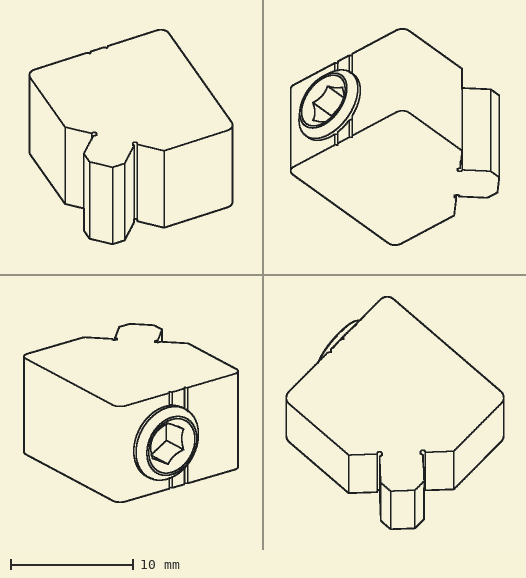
import cadquery as cq
import math

overall_length = 14.41
block_width = 12.57
block_height = 8.53
head_projection = 0.95
corner_radius = 0.75

notch_offset = 4.3
notch_depth = 1.79
relief_radius = 0.2
corner_chamfer = 1.41

groove_depth = 0.17
first_groove_y = 7.22
groove_spacing = 1.54

head_diameter = 6.35
head_chamfer = 0.63
screw_y = 7.81
screw_z = block_height / 2
countersink_diameter = 4.7
hex_across_flats = 3.15
socket_depth = 2.88
countersink_half_angle = 45.0


def vertical_prism(points):
    return cq.Workplane("XY").polyline(points).close().extrude(block_height)


def make_block():
    block = cq.Workplane("XY").box(
        overall_length - head_projection, block_width, block_height, centered=False
    ).translate((head_projection, 0, 0))
    block = block.edges("|Z and (<X or >Y)").fillet(corner_radius)
    return block.edges("|Z and >X and <Y").chamfer(corner_chamfer)


def cut_notches(block):
    """Cut a 90 degree V with a round relief at its apex into the -Y and +X sides."""
    center = overall_length - notch_offset
    bottom_v = vertical_prism(
        [(center - notch_depth, 0), (center, notch_depth), (center + notch_depth, 0)]
    )
    wall = overall_length
    side_v = vertical_prism(
        [
            (wall, notch_offset - notch_depth),
            (wall - notch_depth, notch_offset),
            (wall, notch_offset + notch_depth),
        ]
    )
    reliefs = (
        cq.Workplane("XY")
        .pushPoints([(center, notch_depth), (wall - notch_depth, notch_offset)])
        .circle(relief_radius)
        .extrude(block_height)
    )
    return block.cut(bottom_v).cut(side_v).cut(reliefs)


def cut_grooves(block):
    """Cut two shallow 90 degree V grooves along the full height of the -X face."""
    for y in (first_groove_y, first_groove_y - groove_spacing):
        block = block.cut(
            vertical_prism(
                [
                    (head_projection, y - groove_depth),
                    (head_projection + groove_depth, y),
                    (head_projection, y + groove_depth),
                ]
            )
        )
    return block


screw_plane = cq.Plane(origin=(0, screw_y, screw_z), xDir=(0, 1, 0), normal=(1, 0, 0))


def make_head():
    length = head_projection + groove_depth
    head = cq.Workplane(screw_plane).circle(head_diameter / 2).extrude(length)
    return head.faces("<X").chamfer(head_chamfer)


def make_socket():
    """Hexagonal socket with a conical countersink at its mouth."""
    hex_across_corners = hex_across_flats / math.cos(math.pi / 6)
    hexagon = (
        cq.Workplane(screw_plane)
        .transformed(rotate=(0, 0, 90))
        .polygon(6, hex_across_corners)
        .extrude(socket_depth)
    )
    mouth_radius = countersink_diameter / 2
    cone_depth = mouth_radius / math.tan(math.radians(countersink_half_angle))
    tip_radius = hex_across_flats / 2
    tip_depth = cone_depth * (1 - tip_radius / mouth_radius)
    cone = (
        cq.Workplane(screw_plane)
        .circle(mouth_radius)
        .workplane(offset=tip_depth)
        .circle(tip_radius)
        .loft()
    )
    return hexagon.union(cone)


block = cut_grooves(cut_notches(make_block()))
result = block.union(make_head()).cut(make_socket())